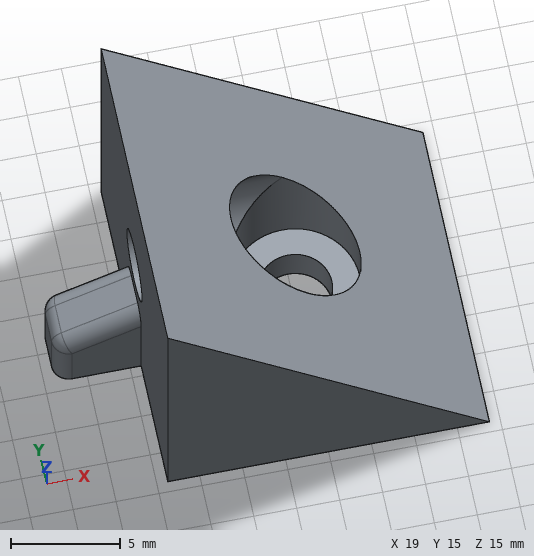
import cadquery as cq
import math

overall_length = 19.0
block_side = 15.0
tab_length = overall_length - block_side
tab_width = 3.0
tab_root_height = 5.0
tab_slope_angle = 25.0
tab_fillet = 0.8
hole_diameter = 3.4
head_diameter = 6.0
wall_thickness = 2.0

mid = block_side / 2


def make_wedge():
    """45-degree wedge with its square corner at the XZ origin, centred on Y."""
    return (
        cq.Workplane("XZ")
        .polyline([(0, 0), (block_side, 0), (0, block_side)])
        .close()
        .extrude(mid, both=True)
    )


def make_tab():
    """Sloped locating tab on the upright face, rounded on its free edges."""
    tip_height = tab_root_height - tab_length * math.tan(math.radians(tab_slope_angle))
    tab = (
        cq.Workplane("XZ")
        .polyline([(-tab_length, 0), (0, 0), (0, tab_root_height), (-tab_length, tip_height)])
        .close()
        .extrude(tab_width / 2, both=True)
    )
    free_edges = tab.faces("<X").edges("not <Z").add(tab.faces(">Z").edges("not >X"))
    return tab.newObject(free_edges.vals()).fillet(tab_fillet)


def make_screw_cutter(plane):
    """Through hole and screw-head bore, square to one leg of the wedge."""
    hole = cq.Workplane(plane).circle(hole_diameter / 2).extrude(block_side)
    head = (
        cq.Workplane(plane)
        .workplane(offset=wall_thickness)
        .circle(head_diameter / 2)
        .extrude(block_side)
    )
    return hole.union(head)


upright_screw = make_screw_cutter(cq.Plane.YZ(origin=(0, 0, mid)))
base_screw = make_screw_cutter(cq.Plane.XY(origin=(mid, 0, 0)))

result = make_wedge().union(make_tab()).cut(upright_screw).cut(base_screw)